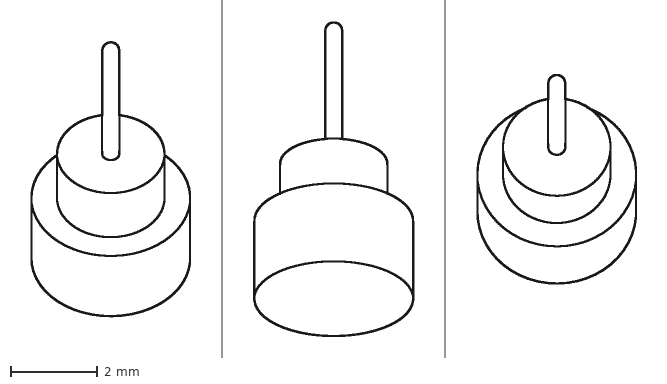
import cadquery as cq

total_height = 7.25
base_diameter = 3.7
base_height = 2.05
collar_diameter = 2.5
collar_height = 1.5
pin_diameter = 0.4
tip_rounding = 0.19

shoulder_height = base_height + collar_height
pin_height = total_height - shoulder_height

base = cq.Workplane("XY").circle(base_diameter / 2).extrude(base_height)
body = base.faces(">Z").workplane().circle(collar_diameter / 2).extrude(collar_height)

pin = (
    cq.Workplane("XY", origin=(0, 0, shoulder_height))
    .circle(pin_diameter / 2)
    .extrude(pin_height)
    .faces(">Z")
    .edges()
    .fillet(tip_rounding)
)

result = body.union(pin)